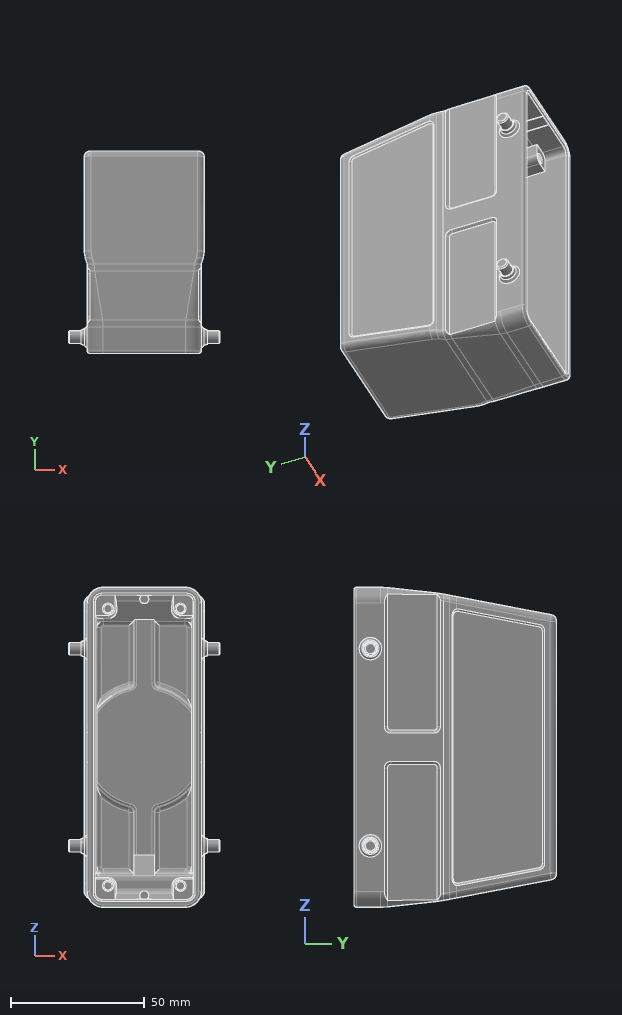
import cadquery as cq
import math

DEPTH = 76.0
FRONT_HALF_WIDTH = 21.4
REAR_HALF_WIDTH = 22.6
RIM_HALF_HEIGHT = 60.1
WAIST_HALF_HEIGHT = 57.8
BACK_HALF_HEIGHT = 49.4
RIM_BEND_Y = 11.2
WAIST_Y = 32.2
SHOULDER_Y = 37.1
BEND_HALF_LENGTH = 1.3
RIM_CORNER_RADIUS = 6.0
REAR_CORNER_RADIUS = 2.6
BACK_EDGE_FILLET = 2.4
RIM_EDGE_FILLET = 0.95

END_WALL = 3.0
BACK_WALL = 3.0
FLOOR_Y = DEPTH - BACK_WALL
CAVITY_FRONT_HALF_WIDTH = 18.4
CAVITY_REAR_HALF_WIDTH = 17.7
CAVITY_CORNER_RADIUS = 2.4
FLOOR_FILLET = 1.7
MOUTH_CHAMFER = 0.7

PAD_HEIGHT = 5.0
PAD_RADIUS = 23.4
PAD_STRIP_HALF_WIDTH = 4.3
PAD_NECK_FILLET = 2.0
PAD_DRAFT = 8.0
PAD_EDGE_FILLET = 0.9

LEDGE_Y = 36.0
LEDGE_Z = -48.2
LEDGE_REAR_Z = -47.2
LEDGE_EDGE_FILLET = 1.6
LEDGE_ROOT_FILLET = 1.0
RAMP_TOP_Z = -40.4
RAMP_HALF_WIDTH = 3.9

POST_X = 13.6
POST_Z = 52.0
POST_FRONT_Y = 9.3
POST_INNER_X = 11.0
POST_INNER_Z = 49.5
POST_CORNER_RADIUS = 2.5
POST_DRAFT = 1.2
SCREW_HOLE_DIAMETER = 3.1
SCREW_HOLE_CHAMFER = 0.5
SCREW_HOLE_DEPTH = 12.0
RIB_RADIUS = 1.7
RIB_Z = 55.6
RIB_FRONT_Y = 10.0
LAND_WIDTH = 5.3
LAND_HEIGHT = 0.2

PIN_Y = 6.15
PIN_Z = 37.0
PIN_TIP_X = 28.5
PIN_RADIUS = 2.4
PIN_TIP_CHAMFER = 0.5
COLLAR_BASE_RADIUS = 4.2
COLLAR_MID_RADIUS = 3.2
COLLAR_MID_X = 22.4
COLLAR_END_RADIUS = 2.7
COLLAR_END_X = 23.7
PIN_ROOT_X = FRONT_HALF_WIDTH - 0.9

GRIP_FRONT_Y = 11.4
GRIP_REAR_Y = 32.4
GRIP_INNER_Z = 5.3
GRIP_DEPTH = 1.0
GRIP_WALL_ANGLE = 50.0
PANEL_FRONT_Y = 36.4
PANEL_REAR_Y = 71.5
PANEL_MARGIN = 4.6
PANEL_DEPTH = 0.5
PANEL_WALL_ANGLE = 60.0
RECESS_CORNER_RADIUS = 2.4

OVERRUN = 2.0
PICK_TOLERANCE = 0.01


def interpolate(y, points):
    """Value at y on the broken line through (y, value) points, held level beyond both ends."""
    if y <= points[0][0]:
        return points[0][1]
    for (y0, v0), (y1, v1) in zip(points, points[1:]):
        if y <= y1:
            return v0 + (v1 - v0) * (y - y0) / (y1 - y0)
    return points[-1][1]


END_PROFILE = [
    (RIM_BEND_Y, RIM_HALF_HEIGHT),
    (WAIST_Y, WAIST_HALF_HEIGHT),
    (DEPTH, BACK_HALF_HEIGHT),
]
SIDE_PROFILE = [(WAIST_Y + BEND_HALF_LENGTH, FRONT_HALF_WIDTH), (SHOULDER_Y, REAR_HALF_WIDTH)]
CORNER_PROFILE = [(RIM_BEND_Y, RIM_CORNER_RADIUS), (WAIST_Y, REAR_CORNER_RADIUS)]
CAVITY_SIDE_PROFILE = [(0, CAVITY_FRONT_HALF_WIDTH), (FLOOR_Y, CAVITY_REAR_HALF_WIDTH)]


def rounded_section(y, half_width, half_height, radius):
    """Closed rounded-rectangle wire lying in the plane at y."""
    outline = cq.Sketch().rect(2 * half_width, 2 * half_height).vertices().fillet(radius)
    slab = cq.Workplane("XZ", origin=(0, y, 0)).placeSketch(outline).extrude(OVERRUN)
    return slab.faces(">Y").wires().val()


def make_hull():
    """Drafted outer body; every bend is eased by a short facet."""
    stations = [0]
    for bend in (RIM_BEND_Y, WAIST_Y, SHOULDER_Y):
        stations += [bend - BEND_HALF_LENGTH, bend + BEND_HALF_LENGTH]
    stations.append(DEPTH)
    sections = [
        rounded_section(
            y,
            interpolate(y, SIDE_PROFILE),
            interpolate(y, END_PROFILE),
            interpolate(y, CORNER_PROFILE),
        )
        for y in stations
    ]
    hull = cq.Workplane(cq.Solid.makeLoft(sections, True))
    hull = hull.faces(">Y").edges().fillet(BACK_EDGE_FILLET)
    return hull.faces("<Y").edges().fillet(RIM_EDGE_FILLET)


def make_pad():
    """Disc and strip standing on the cavity floor, with drafted sides and rounded necks."""
    strip_length = 2 * (BACK_HALF_HEIGHT + OVERRUN)
    floor = cq.Workplane("XZ", origin=(0, FLOOR_Y, 0))
    strip = floor.rect(2 * PAD_STRIP_HALF_WIDTH, strip_length).extrude(PAD_HEIGHT, taper=PAD_DRAFT)
    disc = floor.circle(PAD_RADIUS).extrude(PAD_HEIGHT, taper=PAD_DRAFT)
    neck_box = cq.selectors.BoxSelector(
        (-2 * PAD_STRIP_HALF_WIDTH, FLOOR_Y - PAD_HEIGHT + PICK_TOLERANCE, -PAD_RADIUS),
        (2 * PAD_STRIP_HALF_WIDTH, FLOOR_Y - PICK_TOLERANCE, PAD_RADIUS),
    )
    return strip.union(disc).edges(neck_box).fillet(PAD_NECK_FILLET)


def make_ledge_block():
    """Solid filling behind the ledge on the lower end wall."""
    block = (
        cq.Workplane("YZ")
        .polyline(
            [
                (LEDGE_Y, LEDGE_Z),
                (FLOOR_Y + OVERRUN, LEDGE_REAR_Z),
                (FLOOR_Y + OVERRUN, -RIM_HALF_HEIGHT),
                (LEDGE_Y, -RIM_HALF_HEIGHT),
            ]
        )
        .close()
        .extrude(FRONT_HALF_WIDTH, both=True)
    )
    return block.edges("|X").edges("<Y").edges(">Z").fillet(LEDGE_EDGE_FILLET)


def make_ramp():
    """Wedge sloping from the ledge to the pad surface."""
    start_y = LEDGE_Y + LEDGE_EDGE_FILLET
    return (
        cq.Workplane("YZ")
        .polyline(
            [
                (start_y, LEDGE_Z),
                (FLOOR_Y - PAD_HEIGHT, RAMP_TOP_Z),
                (FLOOR_Y, RAMP_TOP_Z),
                (FLOOR_Y, LEDGE_Z - OVERRUN),
                (start_y, LEDGE_Z - OVERRUN),
            ]
        )
        .close()
        .extrude(RAMP_HALF_WIDTH, both=True)
    )


def make_cavity():
    """Hollow of the hood, with the pad, ledge, posts and ribs left standing in it."""
    stations = (0, MOUTH_CHAMFER, RIM_BEND_Y, WAIST_Y, FLOOR_Y)
    sections = []
    for y in stations:
        flare = max(MOUTH_CHAMFER - y, 0)
        sections.append(
            rounded_section(
                y,
                interpolate(y, CAVITY_SIDE_PROFILE) + flare,
                interpolate(y, END_PROFILE) - END_WALL + flare,
                CAVITY_CORNER_RADIUS + flare,
            )
        )
    cavity = cq.Workplane(cq.Solid.makeLoft(sections, True))
    cavity = cavity.cut(make_ledge_block()).cut(make_pad())
    cavity = cavity.faces(">Y").edges().fillet(FLOOR_FILLET)
    pad_top = FLOOR_Y - PAD_HEIGHT
    pad_rim = cq.selectors.BoxSelector(
        (-CAVITY_REAR_HALF_WIDTH + PAD_EDGE_FILLET, pad_top - PICK_TOLERANCE, LEDGE_REAR_Z + OVERRUN),
        (CAVITY_REAR_HALF_WIDTH - PAD_EDGE_FILLET, pad_top + PICK_TOLERANCE, -LEDGE_REAR_Z - OVERRUN),
    )
    cavity = cavity.edges(pad_rim).fillet(PAD_EDGE_FILLET)
    ledge_root = cq.selectors.BoxSelector(
        (-OVERRUN, LEDGE_Y - PICK_TOLERANCE, -RIM_HALF_HEIGHT),
        (OVERRUN, LEDGE_Y + PICK_TOLERANCE, LEDGE_Z - OVERRUN),
    )
    cavity = cavity.edges(ledge_root).fillet(LEDGE_ROOT_FILLET)
    cavity = cavity.cut(make_ramp())
    for end in (-1, 1):
        cavity = cavity.cut(make_rib(end)).cut(make_land(end))
        for side in (-1, 1):
            cavity = cavity.cut(make_post(side, end))
    return cavity


def make_pin(side, z):
    """Locking pin with a flared collar, turned about an axis along X."""
    outline = [
        (PIN_ROOT_X, 0),
        (PIN_ROOT_X, COLLAR_BASE_RADIUS),
        (FRONT_HALF_WIDTH, COLLAR_BASE_RADIUS),
        (COLLAR_MID_X, COLLAR_MID_RADIUS),
        (COLLAR_END_X, COLLAR_END_RADIUS),
        (COLLAR_END_X, PIN_RADIUS),
        (PIN_TIP_X - PIN_TIP_CHAMFER, PIN_RADIUS),
        (PIN_TIP_X, PIN_RADIUS - PIN_TIP_CHAMFER),
        (PIN_TIP_X, 0),
    ]
    turned = cq.Workplane("XY").polyline([(side * x, r) for x, r in outline]).close()
    return turned.revolve(360, (0, 0, 0), (1, 0, 0)).translate((0, PIN_Y, z))


def make_post(side, end):
    """Drafted corner post running from its front face back into the shell, with a screw hole."""
    outer_x = CAVITY_FRONT_HALF_WIDTH + OVERRUN
    outer_z = RIM_HALF_HEIGHT
    front = cq.Workplane("XZ", origin=(0, POST_FRONT_Y, 0))
    outline = (
        cq.Sketch()
        .push([(side * (POST_INNER_X + outer_x) / 2, end * (POST_INNER_Z + outer_z) / 2)])
        .rect(outer_x - POST_INNER_X, outer_z - POST_INNER_Z)
        .reset()
        .vertices("<X" if side > 0 else ">X")
        .vertices("<Y" if end > 0 else ">Y")
        .fillet(POST_CORNER_RADIUS)
    )
    post = front.placeSketch(outline).extrude(POST_FRONT_Y - DEPTH, taper=-POST_DRAFT)
    hole_plane = front.center(side * POST_X, end * POST_Z)
    hole = hole_plane.circle(SCREW_HOLE_DIAMETER / 2).extrude(-SCREW_HOLE_DEPTH)
    countersink = hole_plane.circle(SCREW_HOLE_DIAMETER / 2 + SCREW_HOLE_CHAMFER).extrude(
        -SCREW_HOLE_CHAMFER, taper=45
    )
    return post.cut(hole).cut(countersink)


def make_rib(end):
    """Round rib along Y, half sunk in an end wall."""
    return (
        cq.Workplane("XZ", origin=(0, RIB_FRONT_Y, 0))
        .center(0, end * RIB_Z)
        .circle(RIB_RADIUS)
        .extrude(RIB_FRONT_Y - LEDGE_Y)
    )


def make_land(end):
    """Thin raised strip on an end wall, between the mouth and the rib."""
    wall_z = RIM_HALF_HEIGHT - END_WALL
    land = cq.Workplane("XY").box(LAND_WIDTH, RIB_FRONT_Y - MOUTH_CHAMFER, 2 * LAND_HEIGHT)
    return land.translate((0, (RIB_FRONT_Y + MOUTH_CHAMFER) / 2, end * wall_z))


def side_recess(outline, side, face_x, depth, angle):
    """Sloped-wall pocket cutter sunk into the side face at face_x."""
    cutter = (
        cq.Workplane("YZ", origin=(face_x, 0, 0))
        .polyline(outline)
        .close()
        .extrude(-depth)
        .edges("|X")
        .fillet(RECESS_CORNER_RADIUS)
    )
    floor = cutter.faces("<X").edges()
    wall_height = depth - PICK_TOLERANCE
    cutter = floor.chamfer(wall_height, wall_height * math.tan(math.radians(angle)))
    return cutter if side > 0 else cutter.mirror("YZ")


def make_grip_recess(side, end):
    """Recess beside the rim that runs out over the rounded corner of the shell."""
    outline = [
        (GRIP_FRONT_Y, end * GRIP_INNER_Z),
        (GRIP_REAR_Y, end * GRIP_INNER_Z),
        (GRIP_REAR_Y, end * (RIM_HALF_HEIGHT + OVERRUN)),
        (GRIP_FRONT_Y, end * (RIM_HALF_HEIGHT + OVERRUN)),
    ]
    return side_recess(outline, side, FRONT_HALF_WIDTH, GRIP_DEPTH, GRIP_WALL_ANGLE)


def make_panel_recess(side):
    """Shallow tapered panel recess in the wide rear part of a side."""
    front_z = interpolate(PANEL_FRONT_Y, END_PROFILE) - PANEL_MARGIN
    rear_z = interpolate(PANEL_REAR_Y, END_PROFILE) - PANEL_MARGIN
    outline = [
        (PANEL_FRONT_Y, -front_z),
        (PANEL_FRONT_Y, front_z),
        (PANEL_REAR_Y, rear_z),
        (PANEL_REAR_Y, -rear_z),
    ]
    return side_recess(outline, side, REAR_HALF_WIDTH, PANEL_DEPTH, PANEL_WALL_ANGLE)


hull = make_hull()
cavity = make_cavity()
for side in (-1, 1):
    hull = hull.cut(make_panel_recess(side))
    for end in (-1, 1):
        hull = hull.cut(make_grip_recess(side, end))
        hull = hull.union(make_pin(side, end * PIN_Z))
result = hull.cut(cavity)